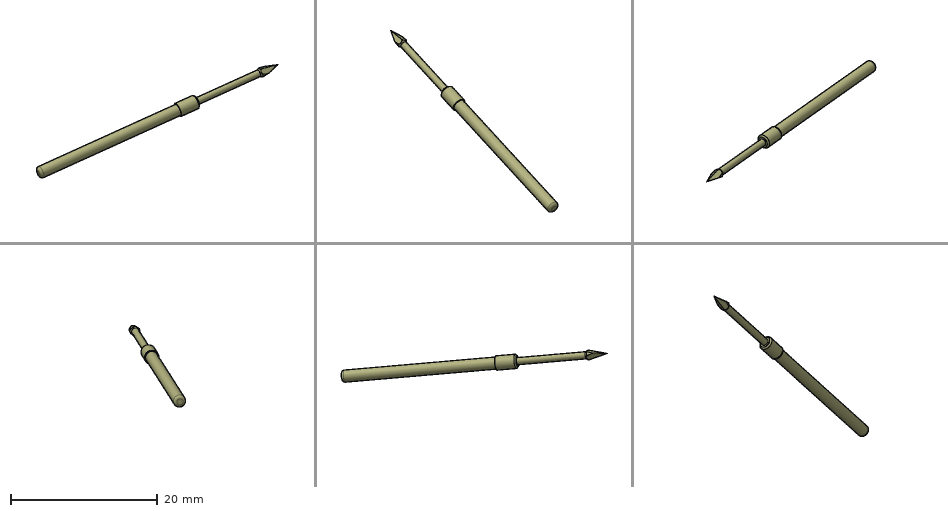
import cadquery as cq

total_length = 37.8

head_end = 3.02
collar_start = 12.8
collar_length = 3.0

head_diameter = 1.35
plunger_diameter = 1.02
collar_diameter = 2.0
tube_diameter = 1.7

head_chamfer_depth = (head_diameter - plunger_diameter) / 2
head_chamfer_length = 0.25
collar_chamfer = 0.23
tail_fillet = 0.4

point_slope_x = 0.37
point_slope_z = 0.27

tip_y = total_length / 2
collar_end = collar_start + collar_length


def rod(diameter, start, end):
    """Round bar along Y between two distances back from the point."""
    length = end - start
    plane = cq.Workplane("XZ", origin=(0, tip_y - start, 0))
    return plane.circle(diameter / 2).extrude(length)


def make_point():
    """Rhombic pyramid with its apex at the tip and edges toward +/-X and +/-Z."""
    half_x = point_slope_x * head_end
    half_z = point_slope_z * head_end
    corners = [(half_x, 0), (0, half_z), (-half_x, 0), (0, -half_z)]
    base = [cq.Vector(x, tip_y - head_end, z) for x, z in corners]
    apex = cq.Vector(0, tip_y, 0)
    outlines = [base]
    for i, corner in enumerate(base):
        outlines.append([corner, base[i - 1], apex])
    faces = [cq.Face.makeFromWires(cq.Wire.makePolygon(points, close=True)) for points in outlines]
    return cq.Workplane(obj=cq.Solid.makeSolid(cq.Shell.makeShell(faces)))


def make_head():
    """Round head with a chamfered rear edge, ground to the four-sided point."""
    blank = rod(head_diameter, 0, head_end).faces("<Y").chamfer(head_chamfer_length, head_chamfer_depth)
    return blank.intersect(make_point())


plunger = rod(plunger_diameter, head_end, collar_start)
collar = rod(collar_diameter, collar_start, collar_end).faces(">Y").chamfer(collar_chamfer)
tube = rod(tube_diameter, collar_end, total_length).faces("<Y").edges().fillet(tail_fillet)

result = make_head().union(plunger).union(collar).union(tube)